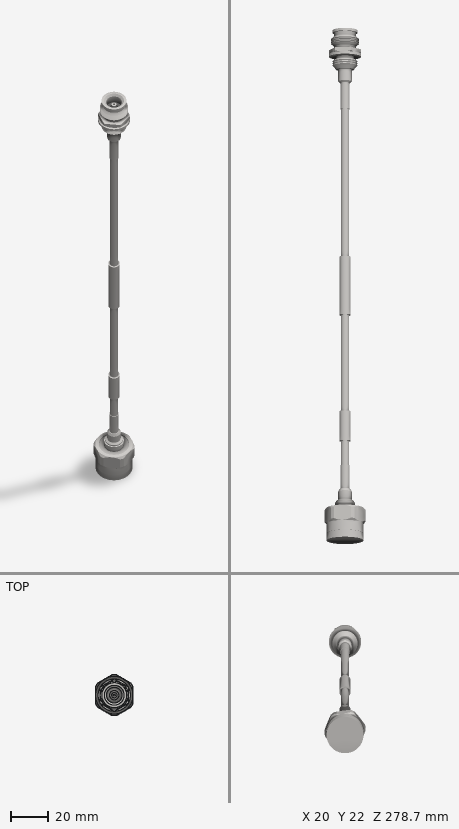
import cadquery as cq
import math

total_length = 278.7

cable_radius = 2.2
cable_bottom = 41.0
cable_top = 235.8

sleeve_wall = 0.8
sleeve_radius = cable_radius + sleeve_wall
long_sleeve_bottom = 123.2
long_sleeve_length = 31.8
short_sleeve_bottom = 54.4
short_sleeve_length = 16.2

tail_radius = 2.5
collar_radius = 3.5
collar_chamfer_width = 0.8
collar_chamfer_height = 1.5

nut_radius = 10.0
nut_lip_step = 0.15
nut_lip_radius = nut_radius - nut_lip_step
nut_lip_top = 4.0
nut_hex_bottom = 9.2
nut_hex_top = 17.5
nut_across_flats = 2 * nut_radius
nut_corner_diameter = 22.0
nut_corner_radius = nut_corner_diameter / 2
nut_chamfer_height = 1.0
nut_recess_radius = 8.0
nut_recess_depth = 0.5

plug_neck_radius = 5.3
plug_neck_top = 20.5
plug_step_radius = 4.7
plug_step_top = 21.5
plug_collar_bottom = 22.3
plug_collar_top = 28.2

jack_collar_bottom = 250.0
jack_collar_top = 257.3
jack_neck_radius = 4.7
grip_bottom = 259.0
grip_top = 262.3
grip_radius = 6.7
grip_ridges = 3
grip_cone_top = 263.0

flange_radius = 8.6
flange_bottom = 264.2
flange_top = 265.5
jack_hex_top = 268.0
jack_hex_across_flats = 15.0
jack_hex_chamfer_height = 0.8

barrel_radius = 5.9
thread_bottom = 271.0
thread_top = 274.3
thread_radius = 7.5
thread_ridges = 4
thread_cone_height = 1.0
rim_radius = 6.7
rim_height = 1.5
ridge_depth = 0.5

socket_radius = 4.2
socket_depth = 5.5
socket_chamfer = 1.0
well_radius = 2.5
well_depth = 0.8
contact_radius = 1.5
contact_hole_radius = 0.5
contact_drop = 2.8


def cylinder(radius, bottom, top):
    """Round bar on the cable axis between two heights."""
    return cq.Workplane("XY").workplane(offset=bottom).circle(radius).extrude(top - bottom)


def revolved(profile):
    """Solid of revolution about Z from (radius, height) points."""
    return cq.Workplane("XZ").polyline(profile).close().revolve(360, (0, 0), (0, 1))


def hexagon(across_flats, bottom, top):
    """Hexagonal bar with two flats facing along X and two corners along Y."""
    corner_diameter = across_flats / math.cos(math.pi / 6)
    bar = cq.Workplane("XY").polygon(6, corner_diameter).extrude(top - bottom)
    return bar.rotate((0, 0, 0), (0, 0, 1), 90).translate((0, 0, bottom))


def ridges(outer_radius, bottom, top, count):
    """Profile points of evenly spaced V-shaped ridges, from the bottom root to the top root."""
    root_radius = outer_radius - ridge_depth
    pitch = (top - bottom) / count
    points = [(root_radius, bottom)]
    for i in range(count):
        points.append((outer_radius, bottom + (i + 0.5) * pitch))
        points.append((root_radius, bottom + (i + 1) * pitch))
    return points


def make_plug():
    body = revolved([
        (0, 0),
        (nut_lip_radius, 0),
        (nut_lip_radius, nut_lip_top),
        (nut_radius, nut_lip_top),
        (nut_radius, nut_hex_bottom),
        (plug_neck_radius, nut_hex_bottom),
        (plug_neck_radius, plug_neck_top),
        (plug_step_radius, plug_neck_top),
        (plug_step_radius, plug_step_top),
        (collar_radius, plug_collar_bottom),
        (collar_radius, plug_collar_top - collar_chamfer_height),
        (collar_radius - collar_chamfer_width, plug_collar_top),
        (tail_radius, plug_collar_top),
        (tail_radius, cable_bottom),
        (0, cable_bottom),
    ])
    corner_envelope = revolved([
        (0, nut_hex_bottom),
        (nut_radius, nut_hex_bottom),
        (nut_corner_radius, nut_hex_bottom + nut_chamfer_height),
        (nut_corner_radius, nut_hex_top - nut_chamfer_height),
        (nut_radius, nut_hex_top),
        (0, nut_hex_top),
    ])
    nut = hexagon(nut_across_flats, nut_hex_bottom, nut_hex_top).intersect(corner_envelope)
    recess = cylinder(nut_recess_radius, nut_hex_top - nut_recess_depth, nut_hex_top)
    return nut.cut(recess).union(body)


def make_jack_body():
    """Round parts of the jack, from the tail up to the rim."""
    rim_bottom = total_length - rim_height
    return revolved([
        (0, cable_top),
        (tail_radius, cable_top),
        (tail_radius, jack_collar_bottom),
        (collar_radius - collar_chamfer_width, jack_collar_bottom),
        (collar_radius, jack_collar_bottom + collar_chamfer_width),
        (collar_radius, jack_collar_top),
        (jack_neck_radius, jack_collar_top),
        *ridges(grip_radius, grip_bottom, grip_top, grip_ridges),
        (jack_neck_radius, grip_cone_top),
        (jack_neck_radius, flange_bottom),
        (flange_radius, flange_bottom),
        (flange_radius, flange_top),
        (barrel_radius, flange_top),
        (barrel_radius, thread_bottom - thread_cone_height),
        *ridges(thread_radius, thread_bottom, thread_top, thread_ridges),
        (barrel_radius, thread_top + thread_cone_height),
        (barrel_radius, rim_bottom),
        (rim_radius, rim_bottom),
        (rim_radius, total_length),
        (0, total_length),
    ])


def make_jack_hexagon():
    """Hexagon on the flange, its lower corners cut back by a cone."""
    corner_radius = jack_hex_across_flats / math.sqrt(3)
    corner_envelope = revolved([
        (0, flange_top),
        (jack_hex_across_flats / 2, flange_top),
        (corner_radius, flange_top + jack_hex_chamfer_height),
        (corner_radius, jack_hex_top),
        (0, jack_hex_top),
    ])
    return hexagon(jack_hex_across_flats, flange_top, jack_hex_top).intersect(corner_envelope)


def make_socket():
    """Empty space inside the jack: a chamfered, stepped bore around a hollow contact."""
    floor = total_length - socket_depth
    bore = revolved([
        (0, floor - well_depth),
        (well_radius, floor - well_depth),
        (well_radius, floor),
        (socket_radius, floor),
        (socket_radius, total_length - socket_chamfer),
        (socket_radius + socket_chamfer, total_length),
        (0, total_length),
    ])
    contact = cylinder(contact_radius, floor - well_depth, total_length - contact_drop)
    contact_hole = cylinder(contact_hole_radius, floor, total_length - contact_drop)
    return bore.cut(contact.cut(contact_hole))


def make_jack():
    return make_jack_body().union(make_jack_hexagon()).cut(make_socket())


def make_cable():
    return cylinder(cable_radius, cable_bottom, cable_top)


def make_sleeve(bottom, length):
    top = bottom + length
    return cylinder(sleeve_radius, bottom, top).cut(cylinder(cable_radius, bottom, top))


plug = make_plug()
jack = make_jack()
cable = make_cable()
sleeves = [
    make_sleeve(bottom, length).val()
    for bottom, length in [
        (short_sleeve_bottom, short_sleeve_length),
        (long_sleeve_bottom, long_sleeve_length),
    ]
]

result = cq.Compound.makeCompound([plug.val(), jack.val(), cable.val(), *sleeves])